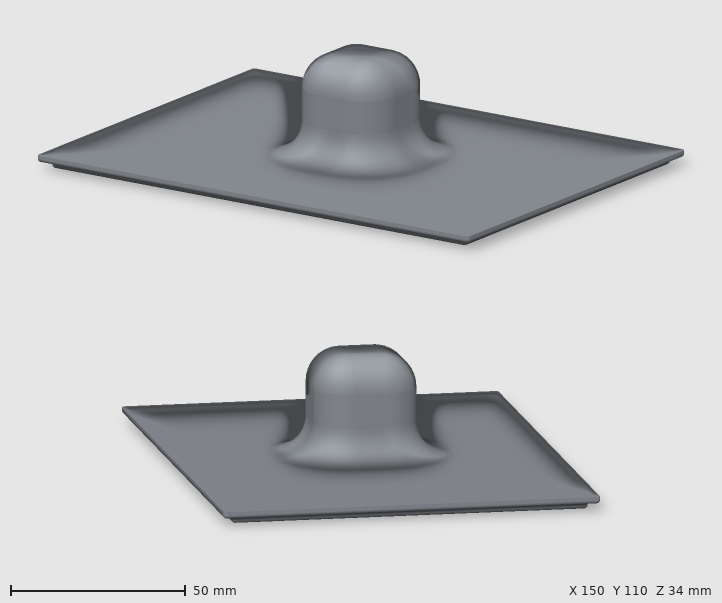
import cadquery as cq

plate_length = 150.0
plate_width = 110.0
plate_thickness = 2.0

step_inset = 3.0
step_thickness = 2.0

edge_radius = 1.0

knob_side = 30.0
knob_height = 30.0
knob_radius = 10.0

selection_margin = 0.1


def edges_near(length, width, z):
    """Selector for edges centred inside a length x width rectangle at height z."""
    return cq.selectors.BoxSelector(
        (-length / 2, -width / 2, z - selection_margin),
        (length / 2, width / 2, z + selection_margin),
    )


def rounded_slab(length, width, thickness, top_z):
    """Slab with rounded vertical corners and sharp rims."""
    bottom_plane = cq.Workplane("XY").workplane(offset=top_z - thickness)
    slab = bottom_plane.rect(length, width).extrude(thickness)
    return slab.edges("|Z").fillet(edge_radius)


def round_lower_rim(body):
    """Round the rim of the lowest face."""
    return body.faces("<Z").edges().fillet(edge_radius)


def join_step(plate, step):
    """Join the step under the plate with a concave fillet along their inner corner.

    The fillet and the step's rounded rim meet at mid height and leave no flat
    side between them, so the filleted half and the rounded half are made apart.
    """
    inner_corner = edges_near(
        plate_length - step_inset,
        plate_width - step_inset,
        -plate_thickness,
    )
    filleted = plate.union(step).edges(inner_corner).fillet(edge_radius)
    mid_plane = cq.Workplane("XY").workplane(offset=-plate_thickness - edge_radius)
    below_middle = mid_plane.rect(plate_length, plate_width).extrude(-step_thickness)
    upper_half = filleted.cut(below_middle)
    return upper_half.union(round_lower_rim(step))


def add_knob(lid):
    """Join the knob to the plate, then round its top and flare its foot."""
    knob = cq.Workplane("XY").rect(knob_side, knob_side).extrude(knob_height)
    knob = knob.edges("|Z").fillet(knob_radius)
    knob = knob.faces(">Z").edges().fillet(knob_radius)
    lid = lid.union(knob)

    foot_size = knob_side + knob_radius
    return lid.edges(edges_near(foot_size, foot_size, 0.0)).fillet(knob_radius)


plate = round_lower_rim(rounded_slab(plate_length, plate_width, plate_thickness, 0.0))
step = rounded_slab(
    plate_length - 2 * step_inset,
    plate_width - 2 * step_inset,
    step_thickness,
    -plate_thickness,
)
lid = join_step(plate, step)
result = add_knob(lid)